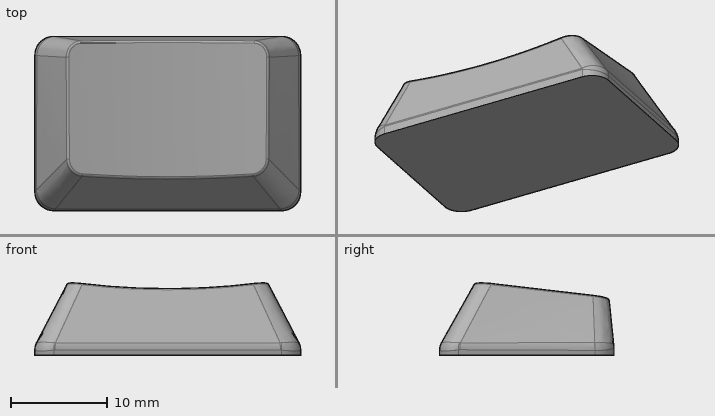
import cadquery as cq
import math

length = 27.7
width = 18.16
skirt_height = 0.97
base_corner_radius = 2.0
skirt_blend_radius = 1.52

dish_radius = 70.6
dish_tilt = 6.7
dish_mid_height = 6.3
rim_fillet_radius = 0.28

blank_clearance = 1.1
blank_length = 20.55
blank_front_y = -5.12
blank_back_y = 8.53
blank_corner_radius = 1.65


def rounded_rectangle(size_x, size_y, corner_radius):
    """Centred rectangle with rounded corners."""
    return cq.Sketch().rect(size_x, size_y).vertices().fillet(corner_radius)


def make_skirt():
    """Upright band around the bottom of the cap."""
    outline = rounded_rectangle(length, width, base_corner_radius)
    return cq.Workplane("XY").placeSketch(outline).extrude(skirt_height)


def make_walls():
    """Body lofted from the level skirt outline to a smaller, tilted rounded rectangle."""
    tilt = math.radians(dish_tilt)
    blank_mid_y = (blank_front_y + blank_back_y) / 2
    blank_width = (blank_back_y - blank_front_y) / math.cos(tilt)
    blank_mid_height = dish_mid_height + blank_clearance - blank_mid_y * math.tan(tilt)
    blank_position = cq.Location(
        cq.Vector(0, blank_mid_y, blank_mid_height - skirt_height),
        cq.Vector(1, 0, 0),
        -dish_tilt,
    )
    lower = rounded_rectangle(length, width, base_corner_radius)
    upper = rounded_rectangle(blank_length, blank_width, blank_corner_radius)
    walls = cq.Workplane("XY", origin=(0, 0, skirt_height))
    return walls.placeSketch(lower, upper.moved(blank_position)).loft()


def make_dish_cutter():
    """Long cylinder whose lowest line forms the middle of the dished top."""
    cutter_length = 2 * length
    return (
        cq.Workplane("XZ")
        .center(0, dish_radius)
        .circle(dish_radius)
        .extrude(cutter_length / 2, both=True)
        .rotate((0, 0, 0), (1, 0, 0), -dish_tilt)
        .translate((0, 0, dish_mid_height))
    )


cap = make_skirt().union(make_walls())

search_margin = 0.03
bend_edges = cq.selectors.BoxSelector(
    (-length, -width, skirt_height - search_margin),
    (length, width, skirt_height + search_margin),
)
cap = cap.edges(bend_edges).fillet(skirt_blend_radius)

cap = cap.cut(make_dish_cutter())
result = cap.faces(">Z").edges().fillet(rim_fillet_radius)